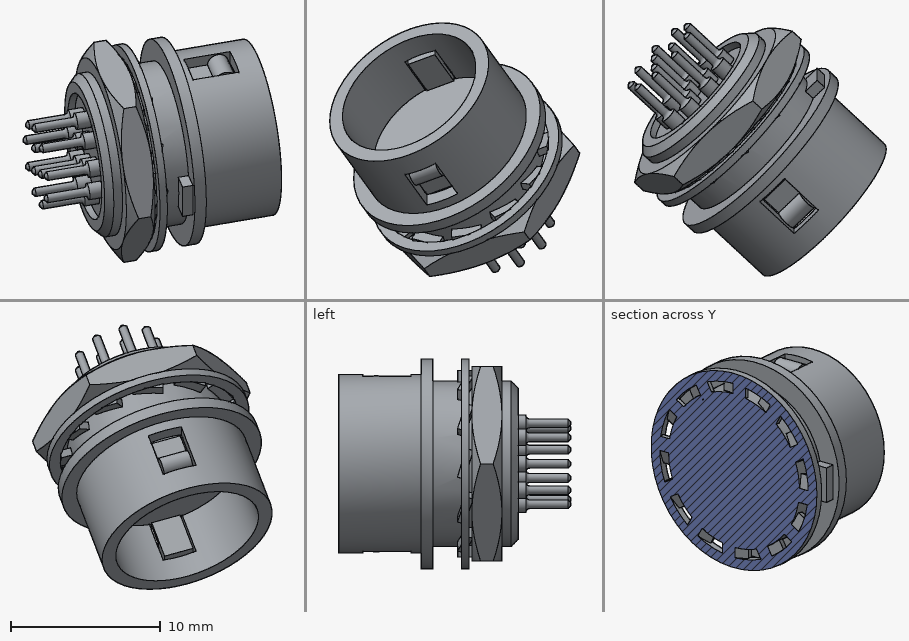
import cadquery as cq
import math


shell_radius = 5.97
shell_end = 6.3
flange_radius = 7.0
flange_thickness = 0.79

body_radius = 5.53
body_length = 5.7
body_chamfer = 0.5
bore_radius = 4.28
bore_depth = 0.5
bore_floor = bore_depth - body_length

socket_radius = 5.0
socket_floor = 1.72

window_width = 2.31
window_front = 1.47
window_rear = 4.67
latch_width = 2.0
latch_top = 5.18
latch_thickness = 0.46
latch_bump_radius = 0.71
latch_tip = 4.5

lug_reach = 6.5
lug_width = 2.48
lug_depth = 0.71

washer_front = -2.42
washer_thickness = 0.51
washer_inner_radius = 6.23
tooth_count = 12
tooth_width = 2.0
tooth_tilt = 16.0
tooth_overlap = 0.15

nut_rear = -2.6
nut_thickness = 2.0
nut_corner_radius = 7.5
nut_flat_radius = nut_corner_radius * math.cos(math.radians(30))
nut_chamfer_angle = 30.0

outer_pin_circle = 2.75
outer_pin_count = 9
inner_pin_circle = 1.1
inner_pin_count = 3
collar_radius = 0.56
collar_length = 0.5
shank_radius = 0.3
shoulder_radius = collar_radius - shank_radius
pin_end = -9.2
tip_radius = 0.1
tip_length = 0.19
pin_embedding = 0.15

notch_width = 0.79
notch_height = 0.48
notch_depth = 0.78


def disc(radius, y_front, y_rear):
    """Cylinder about the Y axis."""
    return cq.Workplane("XZ", origin=(0, y_rear, 0)).circle(radius).extrude(y_rear - y_front)


def box(x_min, x_max, y_min, y_max, z_min, z_max):
    """Block between the given limits on each axis."""
    corner_box = cq.Workplane("XY").box(x_max - x_min, y_max - y_min, z_max - z_min, centered=False)
    return corner_box.translate((x_min, y_min, z_min))


def make_housing():
    """Turned shell, flange and body with the rear socket and the front bore."""
    body = disc(body_radius, -body_length, 0).faces("<Y").chamfer(body_chamfer)
    shell = disc(shell_radius, 0, shell_end)
    flange = disc(flange_radius, 0, flange_thickness)
    housing = body.union(shell).union(flange)
    housing = housing.cut(disc(socket_radius, socket_floor, shell_end))
    return housing.cut(disc(bore_radius, -body_length, bore_floor))


def make_windows():
    """Openings through the shell wall, down to the socket radius."""
    slot = box(
        -window_width / 2, window_width / 2, window_front, window_rear, -flange_radius, flange_radius
    )
    return slot.cut(disc(socket_radius, window_front, window_rear))


def make_latch():
    """Spring arm along the top of the socket with a half-round bump at its tip."""
    bump_centre = latch_tip - latch_bump_radius
    return (
        cq.Workplane("YZ", origin=(-latch_width / 2, 0, 0))
        .moveTo(socket_floor, latch_top - latch_thickness)
        .lineTo(latch_tip, latch_top - latch_thickness)
        .lineTo(latch_tip, latch_top)
        .threePointArc(
            (bump_centre, latch_top + latch_bump_radius),
            (bump_centre - latch_bump_radius, latch_top),
        )
        .lineTo(socket_floor, latch_top)
        .close()
        .extrude(latch_width)
    )


def make_lug():
    """Block on the +X side of the body, against the flange."""
    return box(0, lug_reach, -lug_depth, 0, -lug_width / 2, lug_width / 2)


def make_notch():
    """Notch sunk into the bore floor, bounded outside by the bore wall."""
    notch_floor = bore_floor + notch_depth
    notch = box(
        bore_radius - notch_height, body_radius, bore_floor, notch_floor, -notch_width / 2, notch_width / 2
    )
    return notch.intersect(disc(bore_radius, bore_floor, notch_floor))


def make_washer():
    """Outer ring with tilted teeth that reach in to the body."""
    washer_rear = washer_front + washer_thickness
    washer_middle = (washer_front + washer_rear) / 2
    ring = disc(flange_radius, washer_front, washer_rear)
    washer = ring.cut(disc(washer_inner_radius, washer_front, washer_rear))
    tooth = box(
        -tooth_width / 2, tooth_width / 2,
        -washer_thickness / 2, washer_thickness / 2,
        body_radius - tooth_overlap, washer_inner_radius,
    )
    tooth = tooth.rotate((0, 0, 0), (0, 0, 1), -tooth_tilt).translate((0, washer_middle, 0))
    for index in range(tooth_count):
        angle = index * 360 / tooth_count
        washer = washer.union(tooth.rotate((0, 0, 0), (0, 1, 0), angle))
    return washer


def make_nut():
    """Hexagon with corners on the X axis, chamfered on both faces."""
    hexagon = (
        cq.Workplane("XZ", origin=(0, nut_rear, 0))
        .polygon(6, 2 * nut_corner_radius)
        .extrude(nut_thickness)
    )
    chamfer_run = nut_corner_radius - nut_flat_radius
    chamfer_drop = chamfer_run * math.tan(math.radians(nut_chamfer_angle))
    nut_front = nut_rear - nut_thickness
    envelope = (
        cq.Workplane("XY")
        .moveTo(0, nut_front)
        .lineTo(nut_flat_radius, nut_front)
        .lineTo(nut_corner_radius, nut_front + chamfer_drop)
        .lineTo(nut_corner_radius, nut_rear - chamfer_drop)
        .lineTo(nut_flat_radius, nut_rear)
        .lineTo(0, nut_rear)
        .close()
        .revolve(360, (0, 0, 0), (0, 1, 0))
    )
    return hexagon.intersect(envelope)


def make_pin():
    """Pin on the Y axis: collar, concave shoulder, shank and chamfered tip."""
    pin_root = bore_floor + pin_embedding
    collar_end = -body_length - collar_length
    arc_offset = shoulder_radius * (1 - math.sqrt(0.5))
    return (
        cq.Workplane("XY")
        .moveTo(0, pin_root)
        .lineTo(collar_radius, pin_root)
        .lineTo(collar_radius, collar_end)
        .threePointArc(
            (shank_radius + arc_offset, collar_end - arc_offset),
            (shank_radius, collar_end - shoulder_radius),
        )
        .lineTo(shank_radius, pin_end + tip_length)
        .lineTo(tip_radius, pin_end)
        .lineTo(0, pin_end)
        .close()
        .revolve(360, (0, 0, 0), (0, 1, 0))
    )


def pin_positions():
    """Circle radius and angle about the Y axis of every pin."""
    outer = [(outer_pin_circle, 180 + i * 360 / outer_pin_count) for i in range(outer_pin_count)]
    inner = [(inner_pin_circle, i * 360 / inner_pin_count) for i in range(inner_pin_count)]
    return outer + inner


latch = make_latch()
connector = (
    make_housing()
    .cut(make_windows())
    .cut(make_notch())
    .union(latch)
    .union(latch.mirror("XY"))
    .union(make_lug())
    .union(make_washer())
    .union(make_nut())
)

pin = make_pin()
for pin_circle, pin_angle in pin_positions():
    placed_pin = pin.translate((pin_circle, 0, 0)).rotate((0, 0, 0), (0, 1, 0), pin_angle)
    connector = connector.union(placed_pin)

result = connector